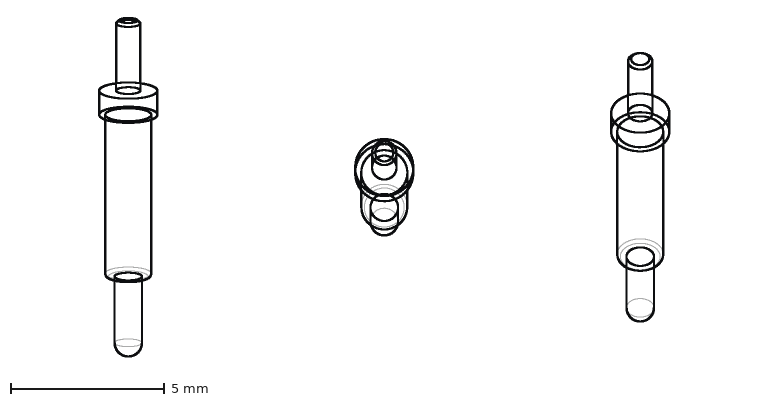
import cadquery as cq

total_length = 11.4
plunger_length = 2.7
barrel_length = 5.5
flange_length = 0.82

plunger_diameter = 0.9
barrel_diameter = 1.5
flange_diameter = 1.9
tail_diameter = 0.8

tail_chamfer = 0.1
barrel_fillet = 0.1

tip_z = -total_length / 2
barrel_z = tip_z + plunger_length
flange_z = barrel_z + barrel_length
tail_z = flange_z + flange_length
top_z = total_length / 2


def cylinder(diameter, bottom_z, end_z):
    """Round section on the Z axis between two heights."""
    return cq.Workplane("XY").workplane(offset=bottom_z).circle(diameter / 2).extrude(end_z - bottom_z)


tip_radius = plunger_diameter / 2
tip_centre_z = tip_z + tip_radius
tip = cq.Workplane("XY").sphere(tip_radius).translate((0, 0, tip_centre_z))
plunger = cylinder(plunger_diameter, tip_centre_z, barrel_z).union(tip)

barrel = cylinder(barrel_diameter, barrel_z, flange_z).faces("<Z").edges().fillet(barrel_fillet)
flange = cylinder(flange_diameter, flange_z, tail_z)
tail = cylinder(tail_diameter, tail_z, top_z).faces(">Z").chamfer(tail_chamfer)

result = plunger.union(barrel).union(flange).union(tail)